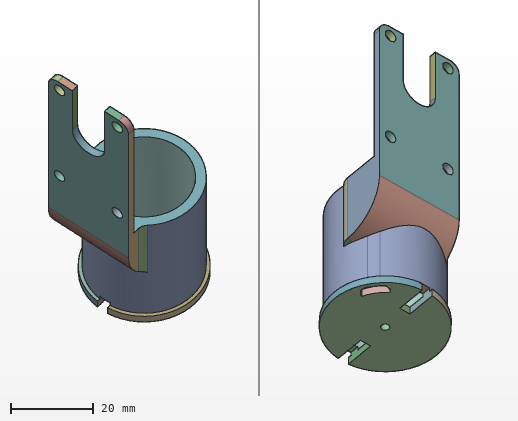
import cadquery as cq
import math

flange_radius = 15.95
flange_height = 2.2
tube_radius = 15.0
bore_radius = 12.4
tube_top = 36.1
floor_thickness = flange_height
centre_hole_diameter = 2.2

notch_width = 3.15
notch_height = 3.15
notch_inner_reach = 7.4

total_height = 79.0
plate_width = 25.05
plate_thickness = 2.05
plate_left = -flange_radius
plate_right = plate_left + plate_width
plate_centre = (plate_left + plate_right) / 2
plate_front = -17.1
plate_back = plate_front + plate_thickness
plate_corner_radius = 3.0
block_round = 12.2
block_bottom = 16.2
block_side_end = -5.0
block_corner_radius = 4.0
joint_radius = 3.0

screw_diameter = 3.2
screw_spacing_x = 18.0
screw_spacing_z = 33.0
upper_screw_z = total_height - 2.9
slot_width = 10.0
slot_depth = 20.0

channel_angle = 219.5
channel_outer_reach = 14.85
channel_length = 7.3
channel_depth = 4.3


def cylinder(radius, bottom, top):
    return cq.Workplane("XY").workplane(offset=bottom).circle(radius).extrude(top - bottom)


def box(x_range, y_range, z_range):
    size = [high - low for low, high in (x_range, y_range, z_range)]
    corner = (x_range[0], y_range[0], z_range[0])
    return cq.Workplane("XY").box(*size, centered=False).translate(corner)


def make_block():
    """Block whose plan outline is cut to a side profile with a quarter round."""
    joint_x = plate_right + joint_radius
    joint_reach = tube_radius + joint_radius
    joint_y = -math.sqrt(joint_reach**2 - joint_x**2)
    touch_x = joint_x * tube_radius / joint_reach
    touch_y = joint_y * tube_radius / joint_reach
    block_back = block_side_end + block_corner_radius
    outline = (
        cq.Workplane("XY", origin=(0, 0, block_bottom))
        .moveTo(plate_left, plate_front)
        .lineTo(plate_right, plate_front)
        .lineTo(plate_right, joint_y)
        .radiusArc((touch_x, touch_y), joint_radius)
        .lineTo(0, block_back)
        .lineTo(plate_left + block_corner_radius, block_back)
        .radiusArc((plate_left, block_side_end), -block_corner_radius)
        .close()
        .extrude(tube_top - block_bottom)
    )
    profile = (
        cq.Workplane("YZ", origin=(plate_left, 0, 0))
        .moveTo(0, block_bottom)
        .lineTo(plate_front + block_round, block_bottom)
        .radiusArc((plate_front, block_bottom + block_round), block_round)
        .lineTo(plate_front, tube_top)
        .lineTo(0, tube_top)
        .close()
        .extrude(2 * flange_radius)
    )
    return outline.intersect(profile)


def make_plate():
    """Upright plate with rounded top corners, four screw holes and an open slot."""
    plate_bottom = block_bottom + block_round
    plate = box((plate_left, plate_right), (plate_front, plate_back), (plate_bottom, total_height))
    plate = plate.edges("|Y and >Z").fillet(plate_corner_radius)
    slot_radius = slot_width / 2
    slot_centre_z = total_height - slot_depth + slot_radius
    front_plane = cq.Workplane("XZ", origin=(plate_centre, plate_back, 0))
    slot_end = front_plane.center(0, slot_centre_z).circle(slot_radius).extrude(plate_thickness)
    slot_mouth = box(
        (plate_centre - slot_radius, plate_centre + slot_radius),
        (plate_front, plate_back),
        (slot_centre_z, total_height),
    )
    screw_holes = (
        front_plane.center(0, upper_screw_z - screw_spacing_z / 2)
        .rarray(screw_spacing_x, screw_spacing_z, 2, 2)
        .circle(screw_diameter / 2)
        .extrude(plate_thickness)
    )
    return plate.cut(slot_end).cut(slot_mouth).cut(screw_holes)


def make_channel():
    """Round-ended channel through the wall, leaving the floor disc untouched."""
    channel = (
        cq.Workplane("XY")
        .center(channel_outer_reach - channel_depth / 2, 0)
        .slot2D(channel_length, channel_depth, 90)
        .extrude(tube_top)
        .rotate((0, 0, 0), (0, 0, 1), channel_angle)
    )
    return channel.cut(cylinder(bore_radius, 0, floor_thickness))


def make_notch(side):
    """Notch in the floor and wall, on the +Y (side 1) or -Y (side -1) half."""
    y_range = sorted((side * notch_inner_reach, side * flange_radius))
    return box((-notch_width / 2, notch_width / 2), y_range, (0, notch_height))


result = cylinder(flange_radius, 0, flange_height)
result = result.union(cylinder(tube_radius, 0, tube_top))
result = result.union(make_block())
result = result.union(make_plate())
result = result.cut(cylinder(bore_radius, floor_thickness, tube_top))
result = result.cut(cylinder(centre_hole_diameter / 2, 0, floor_thickness))
result = result.cut(make_channel())
for side in (1, -1):
    result = result.cut(make_notch(side))